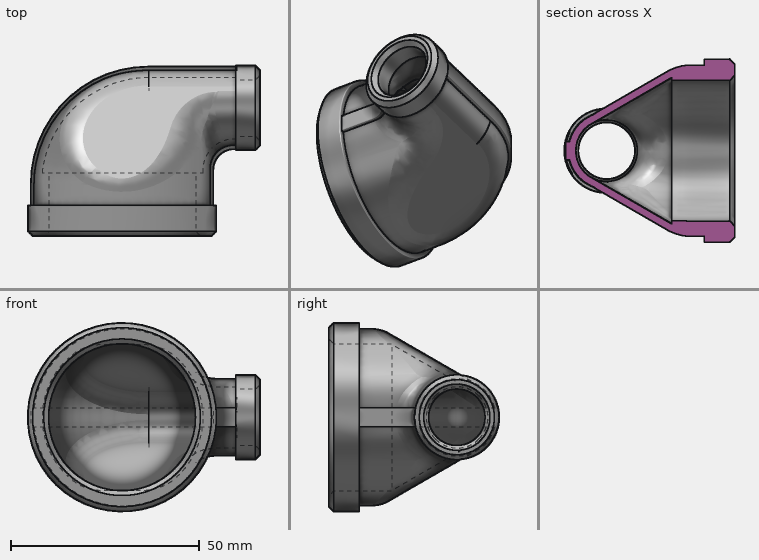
import cadquery as cq
import math

overall_x = 61.6
big_collar_d = 50.0
big_collar_len = 8.15
big_bore_d = 38.95
big_bore_depth = 16.75
small_collar_d = 22.5
small_collar_len = 6.5
small_bore_d = 14.95
mouth_chamfer = 1.3
collar_round = 0.3

branch_y = 33.95
big_body_r = 23.5
small_body_r = 10.2
bend_centre_x = 7.0
throat_r = 6.15
flank_angle = math.radians(30)
wall = 2.1

rib_width = 5.0
rib_height = 0.75
rib_round = 0.25

end_x = overall_x - big_collar_d / 2
small_collar_x = end_x - small_collar_len
core_r = big_body_r - small_body_r
bend_centre_y = branch_y - core_r - bend_centre_x
flank_slope = math.tan(flank_angle)
flank_normal = cq.Vector(0, math.sin(flank_angle), math.cos(flank_angle))
reach = 2 * overall_x
overlap = 0.025
corner_margin = 0.4
big_throat = big_body_r + throat_r
small_throat = small_body_r + throat_r
bend_foot_angle = math.asin((branch_y - bend_centre_y) * flank_slope / core_r)
throat_start_angle = math.atan(flank_slope * big_throat / core_r)
throat_end_angle = math.radians(110)


def y_disc(y, radius, length):
    """Cylinder along +Y that starts at the given y."""
    return cq.Workplane("XZ", origin=(0, y, 0)).circle(radius).extrude(-length)


def x_disc(x, radius, length):
    """Cylinder on the small socket axis, along +X from the given x."""
    return cq.Workplane("YZ", origin=(x, branch_y, 0)).circle(radius).extrude(length)


def box(x0, x1, y0, y1, depth):
    """Box between two x and two y positions, centred on z = 0."""
    return (
        cq.Workplane("XY")
        .box(x1 - x0, y1 - y0, depth, centered=(False, False, True))
        .translate((x0, y0, 0))
    )


def front_half(skin, start_y, length_x):
    """Both straight pipes ahead of bend_centre_x, with a rounded throat between them."""
    big_r = core_r + skin
    throat = throat_r + small_body_r - skin
    small_pipe = x_disc(bend_centre_x, skin, length_x - bend_centre_x)
    pipes = y_disc(start_y, big_r, reach).union(small_pipe)
    joint = [e for e in pipes.edges().vals() if e.geomType() not in ("LINE", "CIRCLE")]
    flank_top_y = branch_y + skin * math.sin(flank_angle)
    below_ridge = box(bend_centre_x, reach, start_y, flank_top_y, reach)
    return pipes.newObject(joint).fillet(throat).intersect(below_ridge).union(small_pipe)


def outer_bend(skin):
    """Quarter-turn solid that rounds the back of the elbow, left of bend_centre_x."""
    big_r = core_r + skin
    half_height = math.sqrt(big_r ** 2 - bend_centre_x ** 2)
    return (
        cq.Workplane("XZ", origin=(0, bend_centre_y, 0))
        .moveTo(bend_centre_x, half_height)
        .threePointArc((-big_r, 0), (bend_centre_x, -half_height))
        .close()
        .revolve(90, (bend_centre_x, 0.6, 0), (bend_centre_x, -0.6, 0))
    )


def back_half(skin, start_y):
    """Big pipe and its rounded back, behind bend_centre_x."""
    big_r = core_r + skin
    behind = box(-reach, bend_centre_x, start_y, bend_centre_y, reach)
    pipe = y_disc(start_y, big_r, bend_centre_y - start_y).intersect(behind)
    return pipe.union(outer_bend(skin))


def flank_wedge(skin):
    """Region between the two sloping flanks, with a sharp ridge."""
    ridge_y = branch_y + (skin - overlap) / math.sin(flank_angle)
    half_base = flank_slope * (ridge_y + reach)
    return (
        cq.Workplane("YZ", origin=(-reach, 0, 0))
        .polyline([(ridge_y, 0), (-reach, half_base), (-reach, -half_base)])
        .close()
        .extrude(2 * reach)
    )


def bend_station(fraction):
    """Core edge around the bend, from the ridge (0) down to the big pipe (1)."""
    tilt = bend_foot_angle * fraction ** 2
    z = core_r * math.sin(tilt)
    swing = bend_centre_x + core_r * math.cos(tilt)
    rise = branch_y - z / flank_slope - bend_centre_y
    turn = math.asin(min(1, rise / swing))
    around = cq.Vector(-math.cos(turn), math.sin(turn), 0)
    point = cq.Vector(bend_centre_x, bend_centre_y, z) + around * swing
    return point, around * math.cos(tilt) + cq.Vector(0, 0, math.sin(tilt))


def pipe_station(fraction):
    """Core edge across the big pipe, from the bend (0) to the throat (1)."""
    first = math.pi - bend_foot_angle
    last = math.asin(small_throat * math.sin(throat_start_angle) / big_throat)
    angle = first + (last - first) * fraction
    outward = cq.Vector(math.cos(angle), 0, math.sin(angle))
    point = outward * core_r
    return cq.Vector(point.x, branch_y - point.z / flank_slope, point.z), outward


def throat_station(fraction):
    """Core edge along the throat, from the big pipe (0) to its run-out on the flank (1)."""
    angle = throat_start_angle + (throat_end_angle - throat_start_angle) * fraction ** 2
    z = small_throat * math.sin(angle)
    drop = small_throat * math.cos(angle)
    x = math.sqrt(big_throat ** 2 - z ** 2)
    ball = cq.Vector(x, branch_y - drop, z)
    along = cq.Vector(-z / x * drop, z, drop).normalized()
    across = (flank_normal - along * flank_normal.dot(along))
    height = (ball - cq.Vector(0, branch_y, 0)).dot(flank_normal)
    lift = height / small_throat / across.Length
    level = math.sqrt(max(0, 1 - lift ** 2))
    across = across.normalized()
    outward = across * lift + along.cross(across) * level
    return ball - outward * small_throat, outward


def corner_section(skin, core_point, outward):
    """Closed outline of the corner stock outside the round at one core edge station."""
    middle = (flank_normal + outward).normalized()
    across = (outward - flank_normal).normalized()
    half_angle = math.acos(middle.dot(outward))
    centre = core_point + middle * overlap
    far = skin + corner_margin

    def at(radius, angle):
        return centre + middle * (radius * math.cos(angle)) + across * (radius * math.sin(angle))

    flank_end = at(skin, -half_angle)
    side_end = at(skin, half_angle)
    apex = centre + middle * (far / math.cos(half_angle))
    return cq.Wire.assembleEdges(
        [
            cq.Edge.makeThreePointArc(flank_end, centre + middle * skin, side_end),
            cq.Edge.makeLine(side_end, apex),
            cq.Edge.makeLine(apex, flank_end),
        ]
    )


def corner_cutters(skin):
    """Stock to cut from the corner between the upper flank and the side wall."""
    cutters = []
    for station, steps in ((bend_station, 8), (pipe_station, 8), (throat_station, 8)):
        sections = [corner_section(skin, *station(i / steps)) for i in range(steps + 1)]
        cutters.append(cq.Workplane(cq.Solid.makeLoft(sections)))
    return cutters


def elbow_solid(skin, start_y, length_x):
    """Elbow at the given distance outside the core: the skin, or the cavity."""
    elbow = back_half(skin, start_y).union(front_half(skin, start_y, length_x))
    elbow = elbow.intersect(flank_wedge(skin))
    for cutter in corner_cutters(skin):
        elbow = elbow.cut(cutter).cut(cutter.mirror("XY"))
    return elbow


def big_collar():
    """Chamfered ring around the big mouth."""
    ring = y_disc(0, big_collar_d / 2, big_collar_len)
    return ring.faces("<Y").chamfer(mouth_chamfer).faces(">Y").edges().fillet(collar_round)


def small_collar():
    """Chamfered ring around the small mouth."""
    ring = x_disc(small_collar_x, small_collar_d / 2, small_collar_len)
    return ring.faces(">X").chamfer(mouth_chamfer).faces("<X").edges().fillet(collar_round)


def rib():
    """Flat band that follows the elbow outline on the plane of symmetry."""
    side = big_body_r + rib_height
    back_r = side + bend_centre_x
    inner_r = throat_r - rib_height
    top_y = bend_centre_y + back_r
    under_y = branch_y - small_body_r - rib_height
    diagonal = math.sqrt(0.5)
    throat_x = side + inner_r
    throat_y = under_y - inner_r
    start_y = big_collar_len / 2
    stop_x = small_collar_x + 2 * collar_round
    return (
        cq.Workplane("XY")
        .moveTo(-side, start_y)
        .lineTo(-side, bend_centre_y)
        .threePointArc(
            (bend_centre_x - back_r * diagonal, bend_centre_y + back_r * diagonal),
            (bend_centre_x, top_y),
        )
        .lineTo(stop_x, top_y)
        .lineTo(stop_x, under_y)
        .lineTo(throat_x, under_y)
        .threePointArc(
            (throat_x - inner_r * diagonal, throat_y + inner_r * diagonal),
            (side, throat_y),
        )
        .lineTo(side, start_y)
        .close()
        .extrude(rib_width / 2, both=True)
        .faces(">Z or <Z")
        .edges()
        .fillet(rib_round)
    )


def bores():
    """Both socket bores, flared at their mouths."""
    big_r = big_bore_d / 2
    small_r = small_bore_d / 2
    big = y_disc(0, big_r, big_bore_depth)
    big_flare = cq.Workplane(
        cq.Solid.makeCone(
            big_r + mouth_chamfer, big_r, mouth_chamfer, cq.Vector(0, 0, 0), cq.Vector(0, 1, 0)
        )
    )
    small = x_disc(small_collar_x - wall, small_r, small_collar_len + wall)
    small_flare = cq.Workplane(
        cq.Solid.makeCone(
            small_r, small_r + mouth_chamfer, mouth_chamfer,
            cq.Vector(end_x - mouth_chamfer, branch_y, 0), cq.Vector(1, 0, 0),
        )
    )
    return big.union(big_flare).union(small.union(small_flare))


skin_solid = elbow_solid(small_body_r, big_collar_len / 2, small_collar_x + small_collar_len / 2)
cavity = elbow_solid(small_body_r - wall, big_collar_len, small_collar_x)
cavity = cavity.cut(y_disc(0, big_body_r, big_bore_depth))
body = skin_solid.union(rib()).union(big_collar()).union(small_collar())
result = body.cut(cavity).cut(bores())